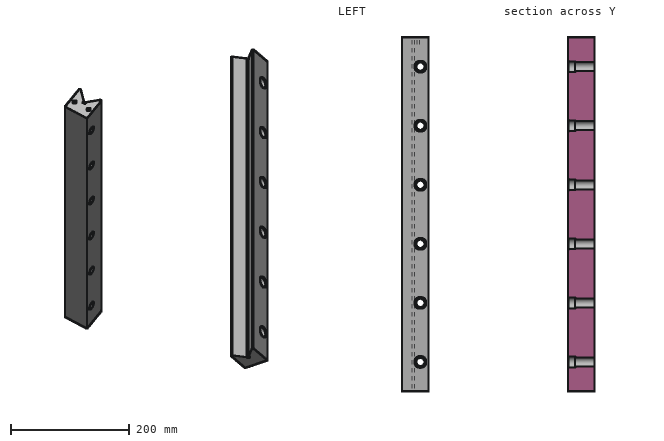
import cadquery as cq

length = 600.0
side = 45.0
half_side = side / 2
front_y = -half_side
back_y = half_side
top_z = length / 2

vee_width = 39.0
relief_width = 4.0
groove_depth = 21.0

cross_hole_count = 6
cross_hole_pitch = length / cross_hole_count
cross_hole_setback = 14.0
cross_hole_diameter = 14.5
counterbore_diameter = 17.5
counterbore_depth = 12.0
counterbore_chamfer = 1.0

end_hole_spacing = 29.0
end_hole_setback = 17.5
end_hole_diameter = 3.5
end_hole_mouth_diameter = 6.5
end_hole_depth = 18.0


def grooved_bar():
    half_vee = vee_width / 2
    half_relief = relief_width / 2
    vee_end_y = back_y - (half_vee - half_relief)
    groove_floor_y = back_y - groove_depth
    outline = [
        (-half_side, front_y),
        (half_side, front_y),
        (half_side, back_y),
        (half_vee, back_y),
        (half_relief, vee_end_y),
        (half_relief, groove_floor_y),
        (-half_relief, groove_floor_y),
        (-half_relief, vee_end_y),
        (-half_vee, back_y),
        (-half_side, back_y),
    ]
    return cq.Workplane("XY", origin=(0, 0, -top_z)).polyline(outline).close().extrude(length)


def cross_hole(z):
    hole_radius = cross_hole_diameter / 2
    counterbore_radius = counterbore_diameter / 2
    half_profile = [
        (0, 0),
        (0, counterbore_radius + counterbore_chamfer),
        (counterbore_chamfer, counterbore_radius),
        (counterbore_depth, counterbore_radius),
        (counterbore_depth, hole_radius),
        (side, hole_radius),
        (side, 0),
    ]
    hole = cq.Workplane("XY").polyline(half_profile).close().revolve(360, (0, 0), (1, 0))
    return hole.translate((-half_side, front_y + cross_hole_setback, z))


def end_hole(x):
    hole_radius = end_hole_diameter / 2
    mouth_radius = end_hole_mouth_diameter / 2
    countersink_depth = mouth_radius - hole_radius
    half_profile = [
        (0, 0),
        (mouth_radius, 0),
        (hole_radius, -countersink_depth),
        (hole_radius, -end_hole_depth),
        (0, -end_hole_depth),
    ]
    hole = cq.Workplane("XZ").polyline(half_profile).close().revolve(360, (0, 0), (0, 1))
    return hole.translate((x, front_y + end_hole_setback, top_z))


result = grooved_bar()

for index in range(cross_hole_count):
    result = result.cut(cross_hole(-top_z + (index + 0.5) * cross_hole_pitch))

for x in (-end_hole_spacing / 2, end_hole_spacing / 2):
    result = result.cut(end_hole(x))